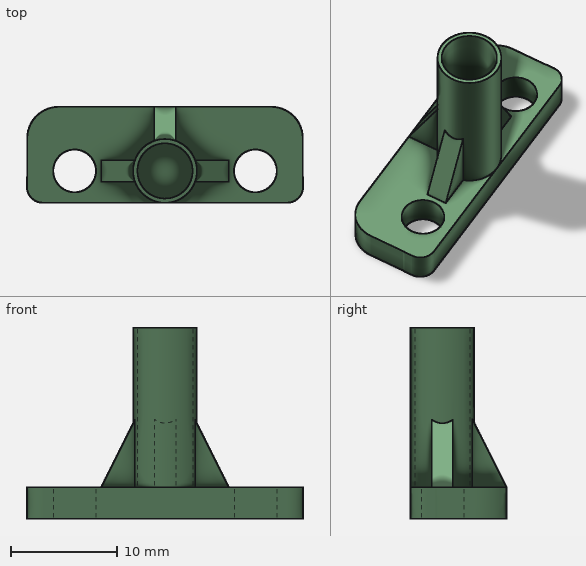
import cadquery as cq

front_length = 26.03
rear_length = 25.98
plate_depth = 9.05
plate_height = 3.0
front_corner_radius = 1.5
rear_corner_radius = 3.0
flare_end_offset = 2.32
flare_start_offset = 2.5
mount_hole_diameter = 4.0
mount_hole_spacing = 17.02

overall_height = 18.0
tube_diameter = 6.0
bore_diameter = 5.2
tube_radius = tube_diameter / 2
plate_front = -tube_radius
plate_rear = plate_front + plate_depth

rib_thickness = 2.0
side_rib_reach = 6.0
rib_rise = 12.03


def make_plate():
    half_front = front_length / 2
    half_rear = rear_length / 2
    flare_end = plate_front + flare_end_offset
    flare_start = plate_front + flare_start_offset
    plate = (
        cq.Workplane("XY")
        .moveTo(-half_front, plate_front)
        .lineTo(half_front, plate_front)
        .lineTo(half_front, flare_end)
        .lineTo(half_rear, flare_start)
        .lineTo(half_rear, plate_rear)
        .lineTo(-half_rear, plate_rear)
        .lineTo(-half_rear, flare_start)
        .lineTo(-half_front, flare_end)
        .close()
        .extrude(plate_height)
    )
    plate = plate.edges("|Z and <Y").fillet(front_corner_radius)
    plate = plate.edges("|Z and >Y").fillet(rear_corner_radius)
    holes = (
        cq.Workplane("XY")
        .pushPoints([(-mount_hole_spacing / 2, 0), (mount_hole_spacing / 2, 0)])
        .circle(mount_hole_diameter / 2)
        .extrude(plate_height)
    )
    return plate.cut(holes)


def make_rib(reach, angle):
    """Rib along +X from the tube axis, turned about Z by the given angle."""
    peak = plate_height + rib_rise
    return (
        cq.Workplane("XZ")
        .polyline([(0, plate_height), (reach, plate_height), (0, peak)])
        .close()
        .extrude(rib_thickness / 2, both=True)
        .rotate((0, 0, 0), (0, 0, 1), angle)
    )


tube = cq.Workplane("XY").circle(tube_radius).extrude(overall_height)

bore = (
    cq.Workplane("XY", origin=(0, 0, plate_height))
    .circle(bore_diameter / 2)
    .extrude(overall_height - plate_height)
)

result = make_plate().union(tube)
for reach, angle in [(side_rib_reach, 0), (side_rib_reach, 180), (plate_rear, 90)]:
    result = result.union(make_rib(reach, angle))
result = result.cut(bore)